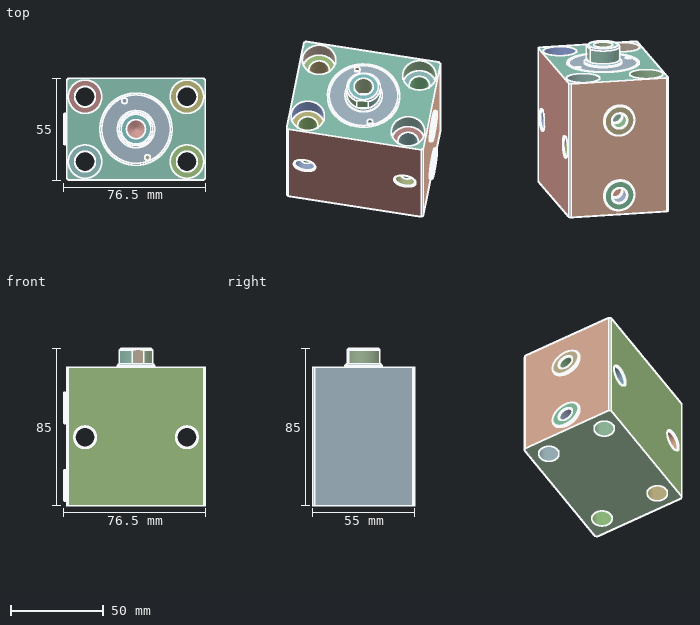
import cadquery as cq
import math

TOTAL_HEIGHT = 85.0
TOTAL_LENGTH = 76.5

BLOCK_LENGTH = 75.0
BLOCK_WIDTH = 55.0
BLOCK_HEIGHT = 75.0
BLOCK_EDGE_CHAMFER = 1.0

BOLT_PITCH_X = 55.0
BOLT_PITCH_Y = 35.0
BOLT_HOLE_DIAMETER = 11.0
COUNTERBORE_DIAMETER = 18.0
COUNTERBORE_DEPTH = 11.05

CROSS_HOLE_HEIGHT = 37.1
CROSS_HOLE_CHAMFER = 0.6

GLAND_DIAMETER = 39.0
GLAND_THICKNESS = 18.7
GLAND_CHAMFER = 1.0
WRENCH_HOLE_DIAMETER = 3.0
WRENCH_HOLE_RADIUS = 16.5
WRENCH_HOLE_DEPTH = 4.25
WRENCH_HOLE_ANGLE = 112.0

ROD_DIAMETER = 20.15
ROD_COLLAR_HEIGHT = 0.8
ROD_CONE_HEIGHT = 1.0
ROD_HEAD_DIAMETER = 18.1
ROD_TIP_CHAMFER = 1.0
ROD_FLAT_WIDTH = 17.0
ROD_FLAT_ANGLE = 7.0
ROD_HOLE_DIAMETER = 10.3
ROD_HOLE_DEPTH = 17.0
DRILL_POINT_ANGLE = 118.0

PORT_HEIGHTS = (11.05, 52.95)
BUSH_DIAMETER = 17.0
BUSH_CHAMFER = 0.4
BUSH_SUNK_LENGTH = 8.5
PORT_DIAMETER = 8.1
PORT_END_DIAMETER = 7.0
PORT_MOUTH_CHAMFER = 0.4

bush_collar_height = TOTAL_LENGTH - BLOCK_LENGTH
bush_length = bush_collar_height + BUSH_SUNK_LENGTH
bush_shank_diameter = BUSH_DIAMETER - 2 * BUSH_CHAMFER
bush_face_x = BLOCK_LENGTH / 2 - TOTAL_LENGTH
block_face_x = -BLOCK_LENGTH / 2
gland_bottom = BLOCK_HEIGHT - GLAND_THICKNESS


def cylinder(diameter, length, start, direction=(0, 0, 1)):
    """Round bar that begins at the point start and runs along direction."""
    return cq.Workplane(cq.Solid.makeCylinder(diameter / 2, length, cq.Vector(*start), cq.Vector(*direction)))


def make_block():
    block = cq.Workplane("XY").box(BLOCK_LENGTH, BLOCK_WIDTH, BLOCK_HEIGHT, centered=(True, True, False))
    block = block.edges("|Z").chamfer(BLOCK_EDGE_CHAMFER)

    block = (
        block.faces(">Z").workplane(origin=(0, 0, BLOCK_HEIGHT))
        .rarray(BOLT_PITCH_X, BOLT_PITCH_Y, 2, 2)
        .cboreHole(BOLT_HOLE_DIAMETER, COUNTERBORE_DIAMETER, COUNTERBORE_DEPTH)
    )

    for x in (-BOLT_PITCH_X / 2, BOLT_PITCH_X / 2):
        hole = cylinder(BOLT_HOLE_DIAMETER, BLOCK_WIDTH, (x, -BLOCK_WIDTH / 2, CROSS_HOLE_HEIGHT), (0, 1, 0))
        block = block.cut(hole)
        for side in (-1, 1):
            mouth = cq.Solid.makeCone(
                BOLT_HOLE_DIAMETER / 2 + CROSS_HOLE_CHAMFER,
                BOLT_HOLE_DIAMETER / 2,
                CROSS_HOLE_CHAMFER,
                cq.Vector(x, side * BLOCK_WIDTH / 2, CROSS_HOLE_HEIGHT),
                cq.Vector(0, -side, 0),
            )
            block = block.cut(cq.Workplane(mouth))

    for z in PORT_HEIGHTS:
        recess = cylinder(bush_shank_diameter, BUSH_SUNK_LENGTH, (block_face_x, 0, z), (1, 0, 0))
        block = block.cut(recess)

    return block.cut(cylinder(GLAND_DIAMETER, GLAND_THICKNESS, (0, 0, gland_bottom)))


def make_gland():
    gland = cylinder(GLAND_DIAMETER, GLAND_THICKNESS, (0, 0, gland_bottom))
    gland = gland.faces(">Z").edges().chamfer(GLAND_CHAMFER)
    gland = gland.cut(cylinder(ROD_DIAMETER, GLAND_THICKNESS, (0, 0, gland_bottom)))

    for angle in (WRENCH_HOLE_ANGLE, WRENCH_HOLE_ANGLE + 180):
        x = WRENCH_HOLE_RADIUS * math.cos(math.radians(angle))
        y = WRENCH_HOLE_RADIUS * math.sin(math.radians(angle))
        hole_bottom = BLOCK_HEIGHT - WRENCH_HOLE_DEPTH
        gland = gland.cut(cylinder(WRENCH_HOLE_DIAMETER, WRENCH_HOLE_DEPTH, (x, y, hole_bottom)))
    return gland


def make_rod():
    rod_radius = ROD_DIAMETER / 2
    head_radius = ROD_HEAD_DIAMETER / 2
    hole_radius = ROD_HOLE_DIAMETER / 2
    collar_top = BLOCK_HEIGHT + ROD_COLLAR_HEIGHT
    head_bottom = collar_top + ROD_CONE_HEIGHT
    hole_bottom = TOTAL_HEIGHT - ROD_HOLE_DEPTH
    drill_point = hole_radius / math.tan(math.radians(DRILL_POINT_ANGLE / 2))

    rod = (
        cq.Workplane("XZ")
        .moveTo(0, gland_bottom)
        .lineTo(rod_radius, gland_bottom)
        .lineTo(rod_radius, collar_top)
        .lineTo(head_radius, head_bottom)
        .lineTo(head_radius, TOTAL_HEIGHT - ROD_TIP_CHAMFER)
        .lineTo(head_radius - ROD_TIP_CHAMFER, TOTAL_HEIGHT)
        .lineTo(hole_radius, TOTAL_HEIGHT)
        .lineTo(hole_radius, hole_bottom)
        .lineTo(0, hole_bottom - drill_point)
        .close()
        .revolve(360, (0, 0), (0, 1))
    )

    head_height = TOTAL_HEIGHT - head_bottom
    flat_depth = (ROD_DIAMETER - ROD_FLAT_WIDTH) / 2
    for side in (-1, 1):
        waste = (
            cq.Workplane("XY", origin=(0, 0, head_bottom))
            .center(0, side * (ROD_FLAT_WIDTH + flat_depth) / 2)
            .box(ROD_DIAMETER, flat_depth, head_height, centered=(True, True, False))
            .rotate((0, 0, 0), (0, 0, 1), ROD_FLAT_ANGLE)
        )
        rod = rod.cut(waste)
    return rod


def make_port_bush(z):
    collar_radius = BUSH_DIAMETER / 2
    shank_radius = bush_shank_diameter / 2
    port_radius = PORT_DIAMETER / 2
    end_radius = PORT_END_DIAMETER / 2
    end_taper = port_radius - end_radius

    return (
        cq.Workplane("XY", origin=(bush_face_x, 0, z))
        .moveTo(0, port_radius + PORT_MOUTH_CHAMFER)
        .lineTo(0, shank_radius)
        .lineTo(BUSH_CHAMFER, collar_radius)
        .lineTo(bush_collar_height - BUSH_CHAMFER, collar_radius)
        .lineTo(bush_collar_height, shank_radius)
        .lineTo(bush_length, shank_radius)
        .lineTo(bush_length, end_radius)
        .lineTo(bush_length - end_taper, port_radius)
        .lineTo(PORT_MOUTH_CHAMFER, port_radius)
        .close()
        .revolve(360, (0, 0), (1, 0))
    )


block = make_block()
gland = make_gland()
rod = make_rod()
port_bushes = [make_port_bush(z) for z in PORT_HEIGHTS]

result = cq.Compound.makeCompound(
    [block.val(), gland.val(), rod.val(), *[bush.val() for bush in port_bushes]]
)